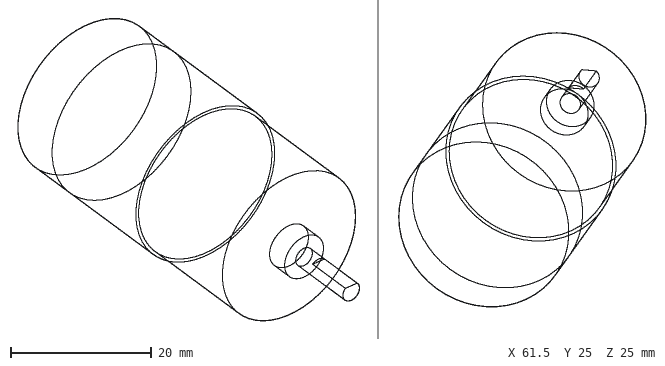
import cadquery as cq

body_diameter = 25.0
cap_length = 8.0

rear_length = 19.5
front_diameter = 24.0
front_length = 19.5

boss_diameter = 7.0
boss_length = 3.5

shaft_diameter = 3.0
shaft_length = 11.0
flat_length = 7.6
flat_depth = 0.45

rear_start = cap_length
front_start = rear_start + rear_length
boss_start = front_start + front_length
shaft_start = boss_start + boss_length
shaft_end = shaft_start + shaft_length


def cylinder_along_x(start, length, diameter):
    return cq.Workplane("YZ", origin=(start, 0, 0)).circle(diameter / 2).extrude(length)


def make_end_cap():
    return cylinder_along_x(0, cap_length, body_diameter)


def make_d_shaft():
    """Output shaft with a flat on its +Z side, running out to the tip."""
    shaft = cylinder_along_x(shaft_start, shaft_length, shaft_diameter)
    flat_height = shaft_diameter / 2 - flat_depth
    flat_cutter = (
        cq.Workplane("XY", origin=(shaft_end - flat_length, 0, flat_height))
        .rect(flat_length, shaft_diameter, centered=(False, True))
        .extrude(flat_depth)
    )
    return shaft.cut(flat_cutter)


def make_motor():
    """Stepped motor case with its front boss and output shaft, all one solid."""
    return (
        cylinder_along_x(rear_start, rear_length, body_diameter)
        .union(cylinder_along_x(front_start, front_length, front_diameter))
        .union(cylinder_along_x(boss_start, boss_length, boss_diameter))
        .union(make_d_shaft())
    )


end_cap = make_end_cap()
motor = make_motor()

result = cq.Compound.makeCompound([end_cap.val(), motor.val()])